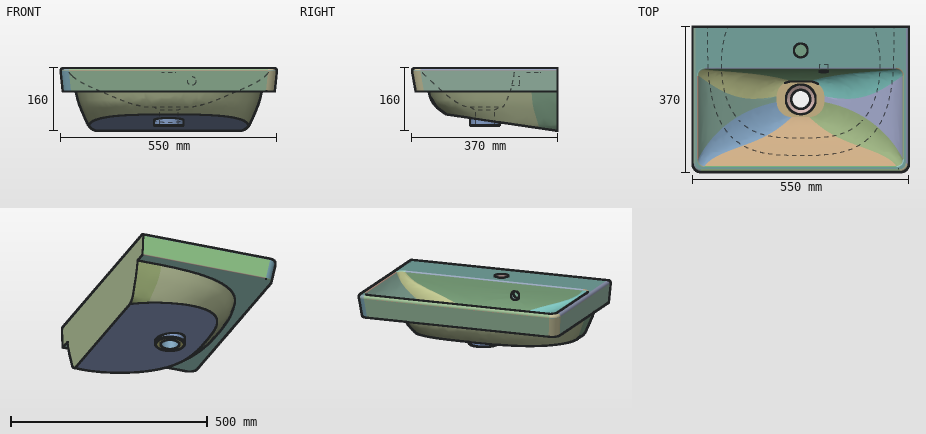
import cadquery as cq

WIDTH = 550.0
DEPTH = 370.0
HEIGHT = 160.0
SLAB_HEIGHT = 60.0
SIDE_TAPER = 5.5
FRONT_TAPER = 9.5
CORNER_RADIUS = 22.0
BAND_HEIGHT = 8.0
TOP_ROUND = 7.5
BOTTOM_ROUND = 2.0

BASIN_SECTIONS = [
    (0.0, 260.5, 108.5, 356.0, 16.5),
    (33.0, 228.0, 114.0, 322.0, 33.0),
    (60.5, 170.5, 121.0, 291.5, 55.0),
    (82.5, 118.0, 129.0, 264.0, 55.0),
    (99.0, 60.5, 139.0, 230.5, 38.5),
]
RIM_ROUND = 4.0

BODY_SECTIONS = [
    (49.5, 238.5, 331.5),
    (SLAB_HEIGHT, 236.5, 328.0),
    (95.5, 226.5, 311.5),
    (121.0, 216.0, 279.0),
    (141.5, 207.0, 247.5),
    (HEIGHT, 184.0, 214.5),
]
SIDE_SHARE = 0.2
SLOPE_END_DISTANCE = 282.0
SLOPE_END_DEPTH = 118.0

DRAIN_DISTANCE = 185.0
DRAIN_DIAMETER = 48.0
DRAIN_SEAT_DIAMETER = 76.0
DRAIN_SEAT_DEPTH = 107.0
BOSS_DIAMETER = 76.0
BOSS_BOTTOM_DEPTH = 147.0
BOSS_CHAMFER = 2.0
TAP_DISTANCE = 60.5
TAP_DIAMETER = 35.0
TAP_DEPTH = 11.0
OVERFLOW_X = 58.5
OVERFLOW_DEPTH = 33.0
OVERFLOW_DIAMETER = 22.0
OVERFLOW_REAR = 96.0


def slab_outline(depth, half_width, front):
    """Rectangle with rounded front corners and a square rear edge."""
    return (
        cq.Workplane("XY", origin=(0, 0, -depth))
        .moveTo(-half_width, 0)
        .lineTo(-half_width, CORNER_RADIUS - front)
        .radiusArc((CORNER_RADIUS - half_width, -front), -CORNER_RADIUS)
        .lineTo(half_width - CORNER_RADIUS, -front)
        .radiusArc((half_width, CORNER_RADIUS - front), -CORNER_RADIUS)
        .lineTo(half_width, 0)
        .close()
        .val()
    )


def loft(wires, ruled=False):
    return cq.Workplane(cq.Solid.makeLoft(wires, ruled))


def rim_slab():
    """Straight upper band above a tapered apron, rounded along both free edges."""
    bottom = slab_outline(SLAB_HEIGHT, WIDTH / 2 - SIDE_TAPER, DEPTH - FRONT_TAPER)
    middle = slab_outline(BAND_HEIGHT, WIDTH / 2, DEPTH)
    band = cq.Workplane("XY").add(middle).toPending().extrude(BAND_HEIGHT)
    band = band.faces(">Z").edges("not >Y").fillet(TOP_ROUND)
    apron = loft([middle, bottom], ruled=True)
    apron = apron.faces("<Z").edges("not >Y").fillet(BOTTOM_ROUND)
    return band.union(apron)


def body_outline(depth, half_width, front):
    """Flat rear, straight sides and a smoothly bowed front."""
    side_end = -front * SIDE_SHARE
    return (
        cq.Workplane("XY", origin=(0, 0, -depth))
        .moveTo(-half_width, 0)
        .lineTo(-half_width, side_end)
        .spline(
            [(0, -front), (half_width, side_end)],
            tangents=[(0, -1), (0, 1)],
            includeCurrent=True,
        )
        .lineTo(half_width, 0)
        .close()
        .val()
    )


def underbody():
    """Bowl-shaped body trimmed by the sloping bottom plane."""
    body = loft([body_outline(*section) for section in BODY_SECTIONS])
    slope = (HEIGHT - SLOPE_END_DEPTH) / SLOPE_END_DISTANCE
    trim = (
        cq.Workplane("YZ")
        .moveTo(0, 0)
        .lineTo(0, -HEIGHT)
        .lineTo(-DEPTH, -HEIGHT + slope * DEPTH)
        .lineTo(-DEPTH, 0)
        .close()
        .extrude(WIDTH / 2, both=True)
    )
    return body.intersect(trim)


def basin_outline(depth, half_width, rear, front, radius):
    """Horizontal section of the basin hollow: a rounded rectangle."""
    sketch = cq.Sketch().rect(2 * half_width, front - rear).vertices().fillet(radius)
    center = cq.Location(cq.Vector(0, -(rear + front) / 2, -depth))
    return sketch.reset().faces().val().outerWire().moved(center)


def cylinder(diameter, distance, top_depth, bottom_depth):
    """Vertical cylinder on the centre line at a distance from the rear face."""
    return (
        cq.Workplane("XY", origin=(0, -distance, -bottom_depth))
        .circle(diameter / 2)
        .extrude(bottom_depth - top_depth)
    )


def drain_seat():
    """Conical seat leading into the drain hole."""
    top_depth = BASIN_SECTIONS[-1][0]
    return (
        cq.Workplane("XY", origin=(0, -DRAIN_DISTANCE, -top_depth))
        .circle(DRAIN_SEAT_DIAMETER / 2)
        .workplane(offset=top_depth - DRAIN_SEAT_DEPTH)
        .circle(DRAIN_DIAMETER / 2)
        .loft()
    )


def overflow_hole():
    """Blind horizontal hole entering the rear wall of the basin."""
    return (
        cq.Workplane("XZ", origin=(OVERFLOW_X, -OVERFLOW_REAR, -OVERFLOW_DEPTH))
        .circle(OVERFLOW_DIAMETER / 2)
        .extrude(DRAIN_DISTANCE - OVERFLOW_REAR)
    )


basin = loft([basin_outline(*section) for section in BASIN_SECTIONS])
boss = cylinder(BOSS_DIAMETER, DRAIN_DISTANCE, DRAIN_SEAT_DEPTH, BOSS_BOTTOM_DEPTH)
boss = boss.faces("<Z").edges().chamfer(BOSS_CHAMFER)

result = rim_slab().union(underbody()).union(boss)
result = result.cut(basin)
rim_edges = cq.selectors.BoxSelector(
    (-WIDTH / 2 + TOP_ROUND, -DEPTH + TOP_ROUND, -RIM_ROUND),
    (WIDTH / 2 - TOP_ROUND, -TAP_DISTANCE, RIM_ROUND),
)
result = result.faces(">Z").edges(rim_edges).fillet(RIM_ROUND)
result = result.cut(drain_seat())
result = result.cut(cylinder(DRAIN_DIAMETER, DRAIN_DISTANCE, DRAIN_SEAT_DEPTH, HEIGHT))
result = result.cut(cylinder(TAP_DIAMETER, TAP_DISTANCE, 0, TAP_DEPTH))
result = result.cut(overflow_hole())